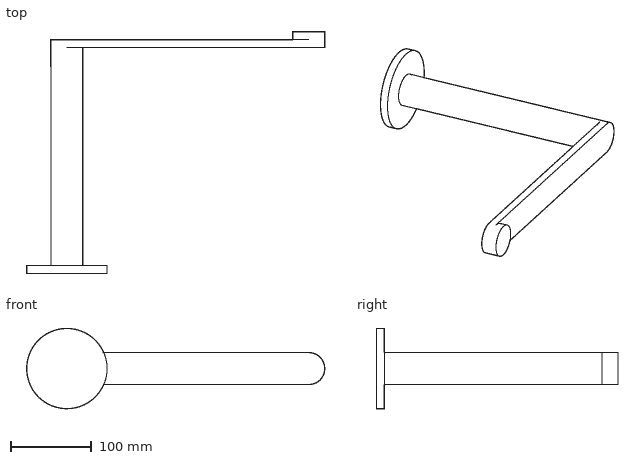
import cadquery as cq

total_length = 370.0
total_depth = 300.0
flange_diameter = 100.0
rod_diameter = 40.0
plate_thickness = 10.0

stop_x = total_length - flange_diameter / 2 - rod_diameter / 2
arm_back_y = total_depth - plate_thickness
arm_front_y = arm_back_y - plate_thickness


def cylinder_along_y(diameter, x, start_y, end_y):
    """Solid cylinder parallel to Y between two Y positions."""
    base = cq.Workplane("XZ", origin=(x, start_y, 0))
    return base.circle(diameter / 2).extrude(start_y - end_y)


flange = cylinder_along_y(flange_diameter, 0, 0, plate_thickness)
rod = cylinder_along_y(rod_diameter, 0, 0, arm_back_y)

arm = cq.Workplane("XY").box(
    stop_x, plate_thickness, rod_diameter, centered=(False, False, True)
).translate((0, arm_front_y, 0))

end_stop = cylinder_along_y(rod_diameter, stop_x, arm_front_y, total_depth)

result = flange.union(rod).union(arm).union(end_stop)